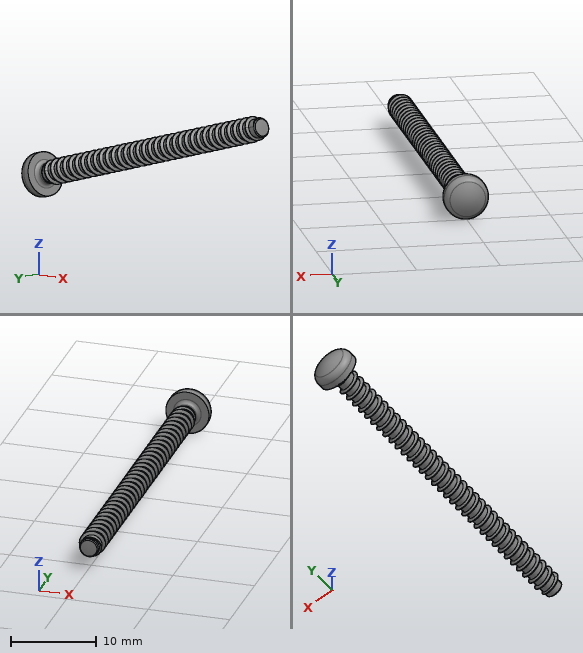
import cadquery as cq
import math

overall_length = 42.3
head_diameter = 5.3

head_height = 2.3
rim_height = 0.8
crown_radius = 4.23

core_radius = 1.15
neck_radius = 1.23
neck_fillet = 0.45
neck_end = 0.75
tip_chamfer = 0.13
tip_dome_height = 0.1

full_thread_length = 37.0
full_turns = 33
fade_turns = 1
thread_radius = 1.52
full_thread_start = 1.65
crest_width = 0.1
root_width = 0.42
root_overlap = 0.1

head_radius = head_diameter / 2
pitch = full_thread_length / full_turns
tip_end = overall_length - head_height
dome_height = head_height - rim_height
flank_slope = (root_width - crest_width) / 2 / (thread_radius - core_radius)
buried_radius = core_radius - root_overlap


def head_and_shank():
    """Revolved body along Z: head underside at Z = 0, head towards -Z, tip towards +Z."""
    crown_drop = crown_radius - dome_height
    shoulder_radius = (crown_radius**2 - head_radius**2 - crown_drop**2) / (2 * (crown_radius - head_radius))
    shoulder_centre = head_radius - shoulder_radius
    rise = math.atan2(crown_drop, shoulder_centre)
    top = -head_height
    crown_centre = top + crown_radius

    def on_crown(angle):
        return (crown_radius * math.cos(angle), crown_centre - crown_radius * math.sin(angle))

    def on_shoulder(angle):
        return (
            shoulder_centre + shoulder_radius * math.cos(angle),
            -rim_height - shoulder_radius * math.sin(angle),
        )

    fillet_mid = neck_fillet * (1 - math.sqrt(0.5))
    tip_edge_radius = core_radius - tip_chamfer
    tip_shoulder = tip_end - tip_dome_height
    dome_sphere = (tip_edge_radius**2 + tip_dome_height**2) / (2 * tip_dome_height)
    dome_mid_radius = tip_edge_radius / 2
    dome_mid = tip_end - dome_sphere + math.sqrt(dome_sphere**2 - dome_mid_radius**2)

    profile = (
        cq.Workplane("XZ")
        .moveTo(0, top)
        .threePointArc(on_crown((rise + math.pi / 2) / 2), on_crown(rise))
        .threePointArc(on_shoulder(rise / 2), (head_radius, -rim_height))
        .lineTo(head_radius, 0)
        .lineTo(neck_radius + neck_fillet, 0)
        .threePointArc((neck_radius + fillet_mid, fillet_mid), (neck_radius, neck_fillet))
        .lineTo(neck_radius, neck_end)
        .lineTo(core_radius, neck_end)
        .lineTo(core_radius, tip_shoulder - tip_chamfer)
        .lineTo(tip_edge_radius, tip_shoulder)
        .threePointArc((dome_mid_radius, dome_mid), (0, tip_end))
        .close()
    )
    return profile.revolve(360, (0, 0, 0), (0, 1, 0)).val()


def helix(start_radius, end_radius, start, end, turns):
    """Right-handed helical edge along Z whose radius and height change evenly over whole turns."""
    length = end - start
    base = cq.Vector(0, 0, start)
    if start_radius == end_radius:
        return cq.Wire.makeHelix(length / turns, length, start_radius, base).Edges()[0]
    taper = math.atan2(end_radius - start_radius, length)
    slant = length / math.cos(taper)
    return cq.Wire.makeHelix(slant / turns, slant, start_radius, base, angle=math.degrees(taper)).Edges()[0]


def buried_width(crest_radius):
    """Ridge width at its buried foot when the crest stands at the given radius."""
    return crest_width + 2 * flank_slope * (crest_radius - buried_radius)


def thread_stretch(start_radius, end_radius, start, turns):
    """One solid length of thread ridge whose crest runs between the two radii."""
    end = start + turns * pitch
    half_crest = crest_width / 2
    start_half = buried_width(start_radius) / 2
    end_half = buried_width(end_radius) / 2
    edges = [
        helix(buried_radius, buried_radius, start - start_half, end - end_half, turns),
        helix(start_radius, end_radius, start - half_crest, end - half_crest, turns),
        helix(start_radius, end_radius, start + half_crest, end + half_crest, turns),
        helix(buried_radius, buried_radius, start + start_half, end + end_half, turns),
    ]
    faces = [cq.Face.makeRuledSurface(edges[i - 1], edges[i]) for i in range(len(edges))]
    for end_position in (0, 1):
        corners = [edge.positionAt(end_position) for edge in edges]
        faces.append(cq.Face.makeFromWires(cq.Wire.makePolygon(corners, close=True)))
    return cq.Solid.makeSolid(cq.Shell.makeShell(faces))


def thread():
    """Three stretches of thread: lead-in rising from the core, full height, run-out fading into it."""
    full_thread_end = full_thread_start + full_thread_length
    return [
        thread_stretch(core_radius, thread_radius, full_thread_start - fade_turns * pitch, fade_turns),
        thread_stretch(thread_radius, thread_radius, full_thread_start, full_turns),
        thread_stretch(thread_radius, core_radius, full_thread_end, fade_turns),
    ]


screw = head_and_shank().fuse(*thread())

along_y = cq.Plane(origin=(0, 0, 0), xDir=(-1, 0, 0), normal=(0, -1, 0))
result = cq.Workplane("XY").newObject([screw.moved(along_y.location)])